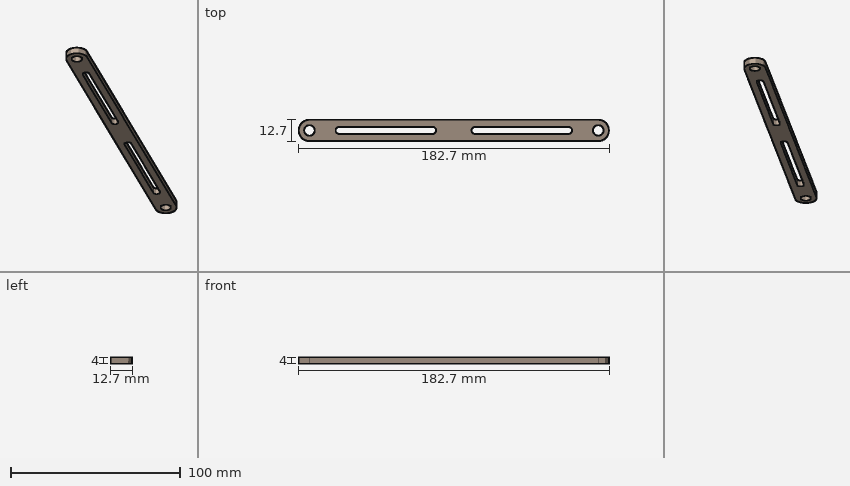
import cadquery as cq

hole_spacing = 170.0
bar_width = 12.7
bar_thickness = 4.0
hole_diameter = 6.1
slot_offset = 40.0
slot_length = 59.0
slot_width = 4.0

bar_length = hole_spacing + bar_width


def make_bar():
    """Flat bar with fully rounded ends, resting on the XY plane."""
    return cq.Workplane("XY").slot2D(bar_length, bar_width).extrude(bar_thickness)


def cut_end_holes(body):
    """Through holes concentric with the rounded ends."""
    centres = [(side * hole_spacing / 2, 0) for side in (-1, 1)]
    return body.faces(">Z").workplane(origin=(0, 0, 0)).pushPoints(centres).hole(hole_diameter)


def cut_slots(body):
    """Two lengthwise through slots, placed symmetrically about the middle."""
    centres = [(side * slot_offset, 0) for side in (-1, 1)]
    top = body.faces(">Z").workplane(origin=(0, 0, 0))
    return top.pushPoints(centres).slot2D(slot_length, slot_width).cutThruAll()


result = cut_slots(cut_end_holes(make_bar()))